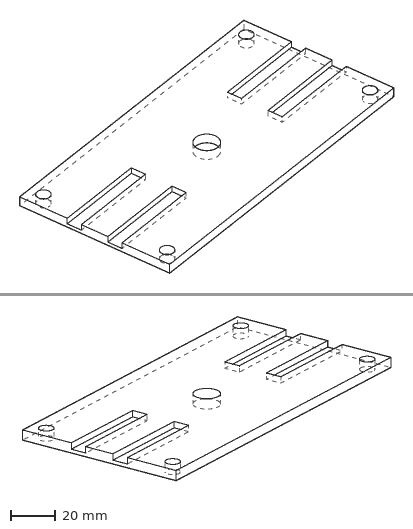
import cadquery as cq

plate_width = 85.0
plate_length = 168.0
plate_thickness = 5.0

center_hole_diameter = 12.5
corner_hole_diameter = 7.0
corner_hole_spacing_x = 70.0
corner_hole_spacing_y = 152.0

groove_width = 8.0
groove_length = 48.0
groove_depth = 3.1
groove_spacing = 23.0


def make_plate():
    """Flat plate centred on the origin in X and Y, with its underside at Z = 0."""
    return cq.Workplane("XY").box(
        plate_width, plate_length, plate_thickness, centered=(True, True, False)
    )


def cut_holes(body):
    """Central hole and four corner holes, all through the plate."""
    body = body.faces(">Z").workplane().hole(center_hole_diameter)
    return (
        body.faces(">Z")
        .workplane()
        .rect(corner_hole_spacing_x, corner_hole_spacing_y, forConstruction=True)
        .vertices()
        .hole(corner_hole_diameter)
    )


def cut_grooves(body):
    """Two parallel square-ended grooves running in from each short end."""
    groove_center_spacing_y = plate_length - groove_length
    grooves = (
        cq.Workplane("XY")
        .workplane(offset=plate_thickness - groove_depth)
        .rect(groove_spacing, groove_center_spacing_y, forConstruction=True)
        .vertices()
        .rect(groove_width, groove_length)
        .extrude(groove_depth)
    )
    return body.cut(grooves)


result = cut_grooves(cut_holes(make_plate()))